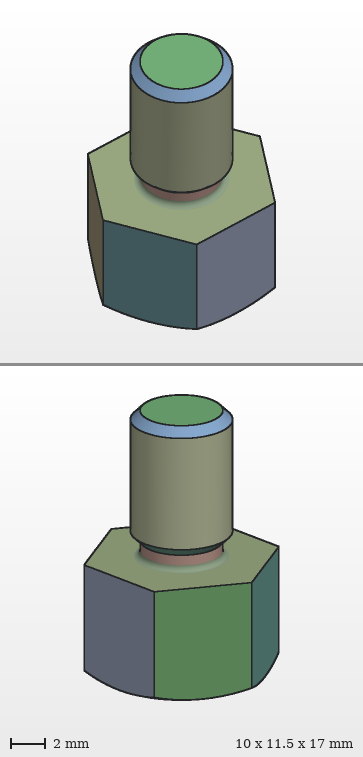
import cadquery as cq
import math

total_height = 17.0
head_height = 8.0
across_flats = 10.0
across_corners = across_flats / math.cos(math.pi / 6)
dome_radius = 12.0

shank_radius = 2.94
neck_radius = 2.38
chamfer = shank_radius - neck_radius
shank_bottom = 9.0
fillet_radius = 0.35


def domed_head():
    """Hexagonal prism with corners on the Y axis and a spherical underside."""
    prism = (
        cq.Workplane("XY")
        .polygon(6, across_corners)
        .extrude(head_height)
        .rotate((0, 0, 0), (0, 0, 1), 30)
    )
    dome = cq.Workplane("XY").sphere(dome_radius).translate((0, 0, dome_radius))
    return prism.intersect(dome)


def shank():
    """Revolved neck with a flared root, and a cylinder chamfered at both ends."""
    root_radius = neck_radius + fillet_radius
    fillet_middle = fillet_radius * (1 - math.sqrt(0.5))
    return (
        cq.Workplane("XZ")
        .moveTo(0, head_height)
        .lineTo(root_radius, head_height)
        .threePointArc(
            (neck_radius + fillet_middle, head_height + fillet_middle),
            (neck_radius, head_height + fillet_radius),
        )
        .lineTo(neck_radius, shank_bottom)
        .lineTo(shank_radius, shank_bottom + chamfer)
        .lineTo(shank_radius, total_height - chamfer)
        .lineTo(neck_radius, total_height)
        .lineTo(0, total_height)
        .close()
        .revolve(360, (0, 0, 0), (0, 1, 0))
    )


result = domed_head().union(shank())